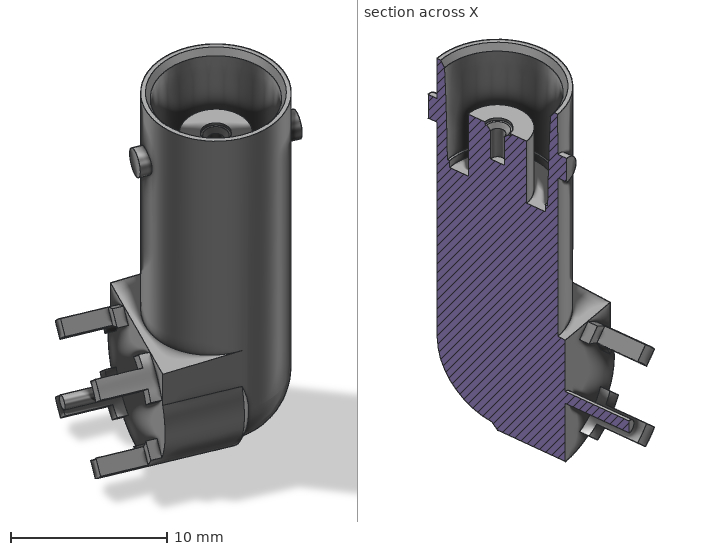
import cadquery as cq
import math


tube_radius = 4.8
base_diameter = 10.5
overall_height = 28.15
base_radius = base_diameter / 2
socket_top = overall_height - base_radius

face_distance = 5.4
base_chamfer = 0.85
block_back_height = 5.1
block_front_height = 4.7

lug_count = 4
lug_inner_radius = 4.05
lug_width = 3.18
lug_thickness = 0.75
leg_width = 1.38
leg_end_distance = 9.4
pin_radius = 0.5
pin_end_distance = 10.47

stud_radius = 0.99
stud_reach = 5.52
stud_height = 18.64

mouth_radius = 4.5
throat_radius = 4.2
throat_depth = 0.48
bore_radius = 3.97
floor_radius = 3.8
ledge_depth = 7.88
floor_depth = 8.45

insulator_radius = 2.35
insulator_depth = 3.38
contact_mouth_radius = 0.99
contact_hole_radius = 0.53
contact_recess_depth = 0.2
contact_funnel_radius = 0.85
contact_funnel_depth = contact_recess_depth + contact_funnel_radius - contact_hole_radius
contact_hole_depth = 2.82


def rod(radius, start, end):
    """Cylinder along -Y between two distances from the socket axis."""
    return cq.Workplane("XZ").workplane(offset=start).circle(radius).extrude(end - start)


def revolved(points):
    """Solid of revolution about Z from (radius, height) points."""
    return cq.Workplane("XZ").polyline(points).close().revolve(360, (0, 0), (0, 1))


def make_body():
    half_diagonal = tube_radius * math.sqrt(0.5)
    tube_and_elbow = (
        cq.Workplane("YZ")
        .moveTo(0, -tube_radius)
        .threePointArc((half_diagonal, -half_diagonal), (tube_radius, 0))
        .lineTo(tube_radius, socket_top)
        .lineTo(0, socket_top)
        .close()
        .revolve(360, (0, 0), (0, 1))
    )
    base = rod(base_radius, -base_chamfer, face_distance).faces(">Y").chamfer(base_chamfer)
    block = (
        cq.Workplane("YZ")
        .polyline([
            (0, 0),
            (-face_distance, 0),
            (-face_distance, block_front_height),
            (0, block_back_height),
        ])
        .close()
        .extrude(tube_radius, both=True)
    )
    above_block = (
        cq.Workplane("YZ")
        .polyline([
            (0, block_back_height),
            (-face_distance, block_front_height),
            (-face_distance, base_diameter),
            (0, base_diameter),
        ])
        .close()
        .extrude(base_radius, both=True)
    )
    return tube_and_elbow.union(base.union(block).cut(above_block))


def make_lug():
    """One lug on the +X side: a wide foot and a narrower leg, both cut from a ring."""
    ring = rod(base_radius, face_distance, leg_end_distance)
    ring = ring.cut(rod(lug_inner_radius, face_distance, leg_end_distance))
    lug = cq.Workplane("XY")
    for width, end in ((lug_width, face_distance + lug_thickness), (leg_width, leg_end_distance)):
        strip = cq.Workplane("XY").box(base_radius, end, width, centered=(False, False, True))
        lug = lug.add(ring.intersect(strip.translate((0, -end, 0))))
    return lug.combine()


def make_socket_cavity():
    cavity = revolved([
        (0, socket_top),
        (mouth_radius, socket_top),
        (throat_radius, socket_top - throat_depth),
        (bore_radius, socket_top - ledge_depth),
        (floor_radius, socket_top - ledge_depth),
        (floor_radius, socket_top - floor_depth),
        (0, socket_top - floor_depth),
    ])
    post_top = socket_top - insulator_depth
    post = (
        cq.Workplane("XY")
        .workplane(offset=socket_top - floor_depth)
        .circle(insulator_radius)
        .extrude(floor_depth - insulator_depth)
    )
    contact_hole = revolved([
        (0, post_top),
        (contact_mouth_radius, post_top),
        (contact_mouth_radius, post_top - contact_recess_depth),
        (contact_funnel_radius, post_top - contact_recess_depth),
        (contact_hole_radius, post_top - contact_funnel_depth),
        (contact_hole_radius, post_top - contact_hole_depth),
        (0, post_top - contact_hole_depth),
    ])
    return cavity.cut(post.cut(contact_hole))


result = make_body()
for index in range(lug_count):
    lug_angle = (index + 0.5) * 360 / lug_count
    result = result.union(make_lug().rotate((0, 0, 0), (0, 1, 0), lug_angle))
result = result.union(rod(pin_radius, face_distance, pin_end_distance))
result = result.union(rod(stud_radius, -stud_reach, stud_reach).translate((0, 0, stud_height)))
result = result.cut(make_socket_cavity())